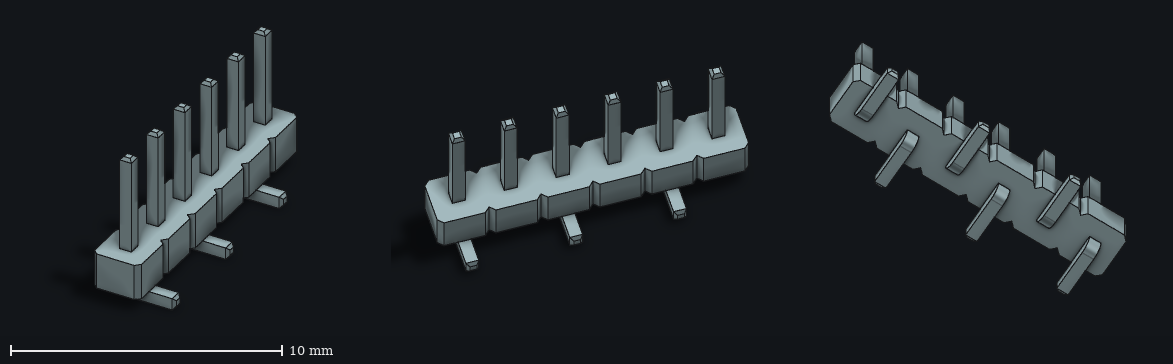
import cadquery as cq

pin_count = 6
row_length = 12.0
pitch = row_length / pin_count
total_width = 4.2
total_height = 6.0

pin_side = 0.5
tip_chamfer = 0.12

body_width = pitch
body_height = 1.5
corner_cut = 0.2
body_bottom = pin_side


def make_cell(y_center):
    """One octagonal body cell; neighbouring cut corners form the V notches."""
    return (
        cq.Workplane("XY")
        .box(body_width, pitch, body_height, centered=(True, True, False))
        .edges("|Z")
        .chamfer(corner_cut)
        .translate((0, y_center, body_bottom))
    )


def make_pin(y_center, leg_points_left):
    """Upright pin bent at the bottom into a horizontal solder leg."""
    half_side = pin_side / 2
    leg_end = total_width / 2
    pin = (
        cq.Workplane("XZ")
        .moveTo(-half_side, total_height)
        .lineTo(-half_side, pin_side)
        .radiusArc((half_side, 0), -pin_side)
        .lineTo(leg_end, 0)
        .lineTo(leg_end, pin_side)
        .lineTo(half_side, pin_side)
        .lineTo(half_side, total_height)
        .close()
        .extrude(half_side, both=True)
    )
    pin = pin.faces(">Z").chamfer(tip_chamfer)
    pin = pin.faces(">X").chamfer(tip_chamfer)
    if leg_points_left:
        pin = pin.mirror("YZ")
    return pin.translate((0, y_center, 0))


y_centers = [(row_length - pitch) / 2 - index * pitch for index in range(pin_count)]

result = make_cell(y_centers[0])
for y_center in y_centers[1:]:
    result = result.union(make_cell(y_center))
result = result.clean()

for index, y_center in enumerate(y_centers):
    result = result.union(make_pin(y_center, leg_points_left=index % 2 == 0))